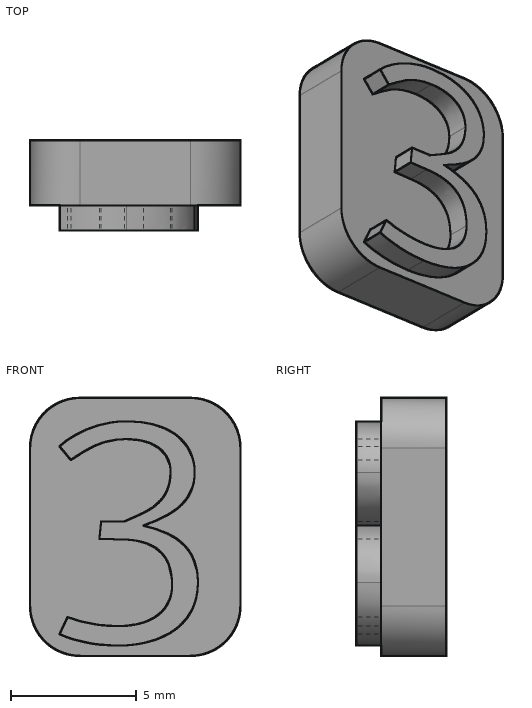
import cadquery as cq

plate_width = 8.4
plate_height = 10.3
plate_thickness = 2.6
corner_radius = 2.0

numeral_relief = 1.0

top_tip_outer = (-3.02, 3.21)
top_tip_inner = (-2.57, 2.67)
top_outer = (-0.35, 4.21)
top_inner = (-0.35, 3.50)
upper_bowl_outer = (2.37, 2.17)
upper_bowl_inner = (1.41, 2.19)
notch = (0.32, 0.05)
arm_upper_end = (-0.42, 0.22)
arm_upper_corner = (-1.36, 0.22)
arm_lower_corner = (-1.43, -0.48)
arm_lower_end = (-0.60, -0.50)
lower_bowl_outer = (2.50, -2.22)
lower_bowl_inner = (1.47, -2.32)
bottom_outer = (-0.75, -4.74)
bottom_inner = (-0.68, -3.96)
bottom_tip_outer = (-3.02, -4.28)
bottom_tip_inner = (-2.70, -3.60)


def make_plate():
    return (
        cq.Workplane("XZ")
        .rect(plate_width, plate_height)
        .extrude(-plate_thickness)
        .edges("|Y")
        .fillet(corner_radius)
    )


def curve(outline, start_handle, end_handle, end):
    """Continue the outline along a cubic Bezier curve, shaped by a handle at each end."""
    return outline.bezier([start_handle, end_handle, end], includeCurrent=True)


def make_numeral():
    outline = cq.Workplane("XZ").moveTo(*top_tip_outer)

    outline = curve(outline, (-2.56, 3.64), (-1.57, top_outer[1]), top_outer)
    outline = curve(outline, (1.53, top_outer[1]), (upper_bowl_outer[0], 3.26), upper_bowl_outer)
    outline = curve(outline, (upper_bowl_outer[0], 0.91), (1.35, 0.42), notch)

    outline = curve(outline, (1.25, -0.17), (lower_bowl_outer[0], -0.59), lower_bowl_outer)
    outline = curve(outline, (lower_bowl_outer[0], -3.94), (1.06, bottom_outer[1]), bottom_outer)
    outline = curve(outline, (-1.72, bottom_outer[1]), (-2.56, -4.49), bottom_tip_outer)

    outline = outline.lineTo(*bottom_tip_inner)
    outline = curve(outline, (-2.19, -3.80), (-1.45, bottom_inner[1]), bottom_inner)
    outline = curve(outline, (0.59, bottom_inner[1]), (lower_bowl_inner[0], -3.39), lower_bowl_inner)
    outline = curve(outline, (lower_bowl_inner[0], -0.97), (0.64, arm_lower_end[1]), arm_lower_end)
    outline = outline.lineTo(*arm_lower_corner)

    outline = outline.lineTo(*arm_upper_corner).lineTo(*arm_upper_end)
    outline = curve(outline, (0.18, 0.53), (upper_bowl_inner[0], 0.77), upper_bowl_inner)
    outline = curve(outline, (upper_bowl_inner[0], 2.96), (0.78, top_inner[1]), top_inner)
    outline = curve(outline, (-1.41, top_inner[1]), (-1.98, 3.04), top_tip_inner)

    return outline.close().extrude(numeral_relief)


result = make_plate().union(make_numeral())